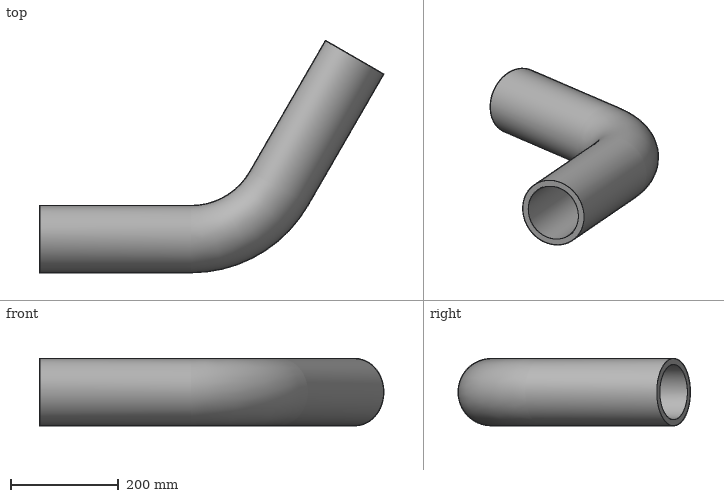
import cadquery as cq
import math

overall_length = 639.0
outer_diameter = 125.0
bore_diameter = 102.0
bend_angle = 60.0
bend_radius = 1.5 * outer_diameter

bend_sin = math.sin(math.radians(bend_angle))
bend_cos = math.cos(math.radians(bend_angle))
end_face_reach = outer_diameter / 2 * bend_sin
leg_length = (overall_length - bend_radius * bend_sin - end_face_reach) / (1 + bend_cos)


def point_on_bend(angle):
    """Centreline point after turning through the given angle in degrees."""
    turn = math.radians(angle)
    x = leg_length + bend_radius * math.sin(turn)
    y = bend_radius * (1 - math.cos(turn))
    return (x, y)


bend_start = point_on_bend(0)
bend_middle = point_on_bend(bend_angle / 2)
bend_end = point_on_bend(bend_angle)
pipe_end = (bend_end[0] + leg_length * bend_cos, bend_end[1] + leg_length * bend_sin)

centreline = (
    cq.Workplane("XY")
    .lineTo(*bend_start)
    .threePointArc(bend_middle, bend_end)
    .lineTo(*pipe_end)
)

result = (
    cq.Workplane("YZ")
    .circle(outer_diameter / 2)
    .circle(bore_diameter / 2)
    .sweep(centreline)
)